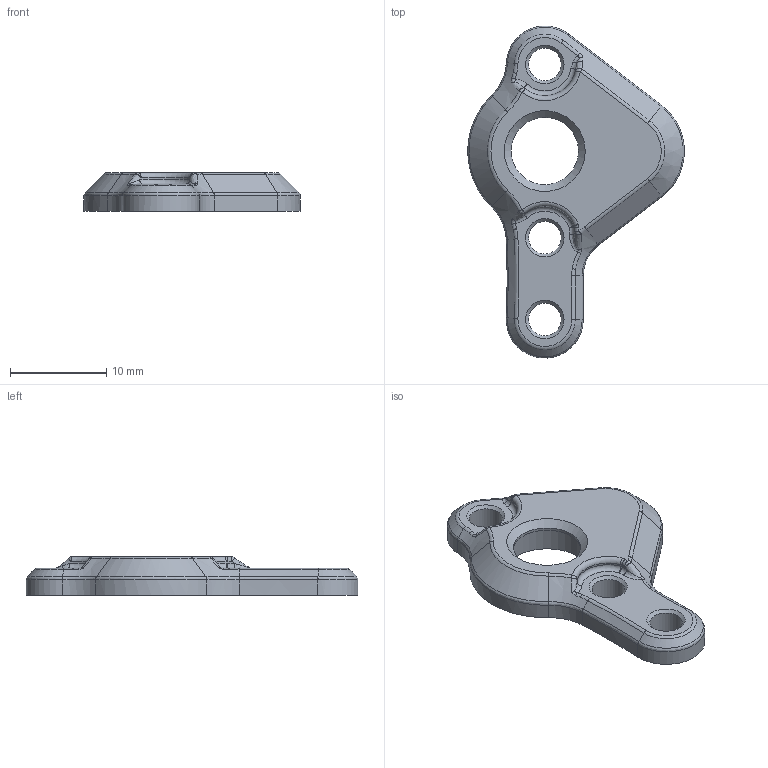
import cadquery as cq
import math

plate_height = 4.0
pocket_floor_height = 2.8

main_boss_radius = 8.0
nose_center_x = 8.5
nose_radius = 6.0
screw_offset_y = 9.0
arm_end_y = -17.5
lobe_radius = 4.0
waist_radius = 5.0
arm_fillet_radius = 4.0

rim_chamfer = 2.2
edge_fillet = 0.5

bore_radius = 3.5
bore_chamfer = 0.7
counterbore_radius = 4.4
counterbore_depth = 3.0
screw_hole_radius = 1.7
screw_hole_chamfer = 0.3

pocket_radius = 3.25
lower_pocket_right_wall_x = 3.05
pocket_reach = 20.0

tolerance = 0.01
smooth_angle = math.radians(5)


def on_circle(center, radius, direction):
    """Point on a circle in the direction of a vector."""
    length = math.hypot(direction[0], direction[1])
    return (center[0] + radius * direction[0] / length, center[1] + radius * direction[1] / length)


def make_outline():
    """Plan outline: main boss, nose, upper lobe and lower arm joined by tangent curves."""
    boss = (0, 0)
    nose = (nose_center_x, 0)
    lobe = (0, screw_offset_y)
    lower_lobe = (0, -screw_offset_y)
    arm_end = (0, arm_end_y)

    spacing = math.hypot(nose_center_x, screw_offset_y)
    descent_angle = math.atan2(screw_offset_y, nose_center_x)
    normal_angle = math.acos((lobe_radius - nose_radius) / spacing) - descent_angle
    normal = (math.cos(normal_angle), math.sin(normal_angle))
    lower_normal = (normal[0], -normal[1])
    flank_distance = normal[0] * nose_center_x + nose_radius

    to_boss = main_boss_radius + waist_radius
    to_lobe = lobe_radius + waist_radius
    waist_y = (to_boss**2 - to_lobe**2 + screw_offset_y**2) / (2 * screw_offset_y)
    upper_waist = (-math.sqrt(to_boss**2 - waist_y**2), waist_y)
    lobe_to_waist = (upper_waist[0], upper_waist[1] - screw_offset_y)

    hollow_y = (arm_end_y - screw_offset_y) / 2
    lobe_to_hollow = (lobe_to_waist[0], -lobe_to_waist[1])
    end_to_hollow = lobe_to_waist
    to_hollow = to_lobe * (hollow_y - arm_end_y) / lobe_to_waist[1]
    hollow_edge = lobe_radius + to_hollow * (-lobe_to_waist[0] / to_lobe - 1)

    arm_fillet_x = lobe_radius + arm_fillet_radius
    arm_fillet_y = (normal[0] * arm_fillet_x - flank_distance - arm_fillet_radius) / normal[1]
    arm_fillet = (arm_fillet_x, arm_fillet_y)
    fillet_to_flank = (-lower_normal[0], -lower_normal[1])
    fillet_middle = (fillet_to_flank[0] - 1, fillet_to_flank[1])

    waist_middle = on_circle(
        upper_waist,
        waist_radius,
        (
            -upper_waist[0] / to_boss - lobe_to_waist[0] / to_lobe,
            -upper_waist[1] / to_boss - lobe_to_waist[1] / to_lobe,
        ),
    )
    waist_start = on_circle(boss, main_boss_radius, upper_waist)
    return (
        cq.Workplane("XY")
        .moveTo(*on_circle(lobe, lobe_radius, normal))
        .lineTo(*on_circle(nose, nose_radius, normal))
        .threePointArc((nose_center_x + nose_radius, 0), on_circle(nose, nose_radius, lower_normal))
        .lineTo(*on_circle(arm_fillet, arm_fillet_radius, fillet_to_flank))
        .threePointArc(
            on_circle(arm_fillet, arm_fillet_radius, fillet_middle),
            (lobe_radius, arm_fillet_y),
        )
        .lineTo(lobe_radius, arm_end_y)
        .threePointArc((0, arm_end_y - lobe_radius), on_circle(arm_end, lobe_radius, end_to_hollow))
        .threePointArc((-hollow_edge, hollow_y), on_circle(lower_lobe, lobe_radius, lobe_to_hollow))
        .threePointArc((waist_middle[0], -waist_middle[1]), (waist_start[0], -waist_start[1]))
        .threePointArc((-main_boss_radius, 0), waist_start)
        .threePointArc(waist_middle, on_circle(lobe, lobe_radius, lobe_to_waist))
        .threePointArc(on_circle(lobe, lobe_radius, (-1, 1)), on_circle(lobe, lobe_radius, normal))
        .close()
    )


def make_pocket(side, right_wall_x):
    """Pocket with a round inner end that opens outward along +Y (side = 1) or -Y (side = -1)."""
    center_y = side * screw_offset_y
    open_y = side * (screw_offset_y + pocket_reach)
    arc_end_y = center_y - side * math.sqrt(pocket_radius**2 - right_wall_x**2)
    return (
        cq.Workplane("XY", origin=(0, 0, pocket_floor_height))
        .moveTo(-pocket_radius, open_y)
        .lineTo(-pocket_radius, center_y)
        .threePointArc((0, center_y - side * pocket_radius), (right_wall_x, arc_end_y))
        .lineTo(right_wall_x, open_y)
        .close()
        .extrude(plate_height)
    )


def is_level_edge(edge, height):
    """True for an edge that lies flat at a height."""
    box = edge.BoundingBox()
    return abs(box.zmin - height) < tolerance and abs(box.zmax - height) < tolerance


def sharp_upper_edges(body):
    """Edges at or above the pocket floors where two faces meet at an angle."""
    faces_at_edge = {}
    for face in body.faces().vals():
        for edge in face.Edges():
            faces_at_edge.setdefault(edge, []).append(face)
    sharp = []
    for edge, faces in faces_at_edge.items():
        if len(faces) != 2 or edge.BoundingBox().zmin < pocket_floor_height - tolerance:
            continue
        middle = edge.positionAt(0.5)
        normals = [face.normalAt(middle) for face in faces]
        if normals[0].getAngle(normals[1]) > smooth_angle:
            sharp.append(edge)
    return sharp


def make_plate():
    """Chamfered plate with both pockets cut and every upper edge rounded."""
    plate = make_outline().extrude(plate_height).faces(">Z").chamfer(rim_chamfer)
    rim_height = plate_height - rim_chamfer
    rim_edges = [edge for edge in plate.edges().vals() if is_level_edge(edge, rim_height)]
    plate = plate.newObject(rim_edges).fillet(edge_fillet)
    plate = plate.cut(make_pocket(1, pocket_radius))
    plate = plate.cut(make_pocket(-1, lower_pocket_right_wall_x))
    crest_edges = [e for e in sharp_upper_edges(plate) if not is_level_edge(e, pocket_floor_height)]
    plate = plate.newObject(crest_edges).fillet(edge_fillet)
    floor_edges = [e for e in sharp_upper_edges(plate) if is_level_edge(e, pocket_floor_height)]
    return plate.newObject(floor_edges).fillet(edge_fillet)


def cut_chamfered_hole(body, center_y, top_height, radius, chamfer):
    """Through hole on the Y axis with a 45 degree chamfer at its top."""
    hole = cq.Workplane("XY").center(0, center_y).circle(radius).extrude(plate_height)
    chamfer_base = cq.Vector(0, center_y, top_height - chamfer)
    chamfer_cone = cq.Solid.makeCone(radius, radius + chamfer, chamfer, pnt=chamfer_base)
    return body.cut(hole).cut(cq.Workplane(chamfer_cone))


def cut_counterbore(body):
    """Wide recess under the main bore, leaving a short lip above it."""
    recess = cq.Workplane("XY").circle(counterbore_radius).extrude(counterbore_depth)
    return body.cut(recess)


result = make_plate()
result = cut_counterbore(result)
result = cut_chamfered_hole(result, 0, plate_height, bore_radius, bore_chamfer)
for hole_y in (screw_offset_y, -screw_offset_y, arm_end_y):
    result = cut_chamfered_hole(result, hole_y, pocket_floor_height, screw_hole_radius, screw_hole_chamfer)